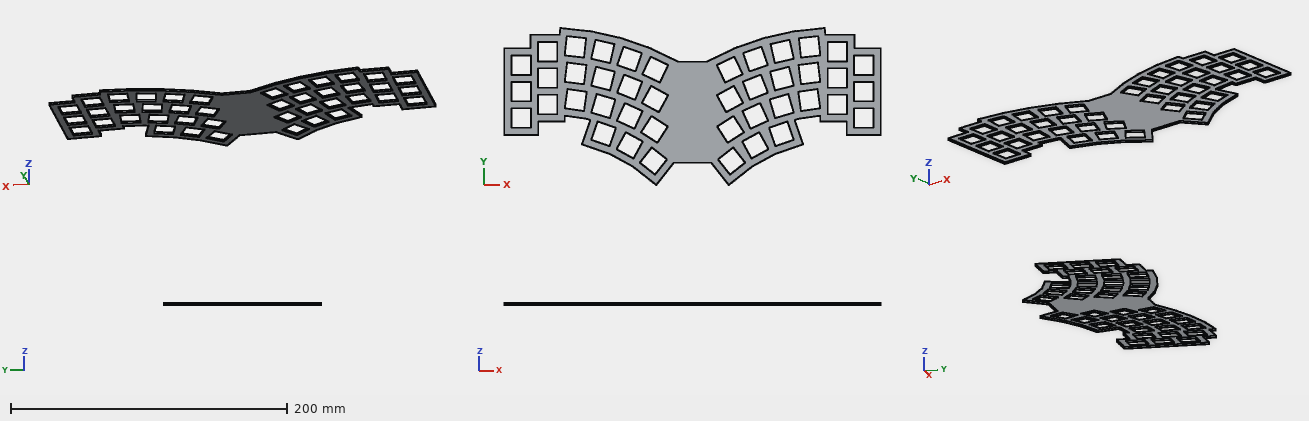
import cadquery as cq
import math

plate_length = 272.7
plate_thickness = 1.5
key_pitch = 19.0
cell_size = 24.8
opening_size = 14.0

column_keys = 3
outer_column_x = -plate_length / 2 + cell_size / 2
inner_column_x = outer_column_x + key_pitch
outer_column_middle_y = 10.5
column_stagger = 9.8

fan_center_x = inner_column_x
fan_center_y = -137.0
top_row_radius = 181.0
row_key_numbers = [(1, 2, 3, 4), (1, 2, 3, 4), (1, 2, 3, 4), (2, 3, 4)]

web_bottom_y = -41.0


def row_radius(row):
    return top_row_radius - row * key_pitch


def key_angle(row, number):
    """Tilt from +Y in degrees; pitch-wide squares of one row touch at their inner corners."""
    half_pitch = key_pitch / 2
    step = 2 * math.atan(half_pitch / (row_radius(row) - half_pitch))
    return math.degrees(number * step)


def fan_point(row, number, across=0.0, outward=0.0):
    """Point offset from a fanned key's centre, along the key's own axes."""
    angle = math.radians(key_angle(row, number))
    radius = row_radius(row) + outward
    x = fan_center_x + radius * math.sin(angle) + across * math.cos(angle)
    y = fan_center_y + radius * math.cos(angle) - across * math.sin(angle)
    return x, y


def column_keys_at(x, middle_y):
    """Upright keys of one straight column, as (x, y, rotation)."""
    first_y = middle_y - key_pitch * (column_keys - 1) / 2
    return [(x, first_y + i * key_pitch, 0.0) for i in range(column_keys)]


def fan_keys():
    """Keys of all fanned rows, as (x, y, rotation)."""
    keys = []
    for row, numbers in enumerate(row_key_numbers):
        for number in numbers:
            x, y = fan_point(row, number)
            keys.append((x, y, -key_angle(row, number)))
    return keys


def key_block(key, size):
    x, y, rotation = key
    block = cq.Workplane("XY").rect(size, size).extrude(plate_thickness)
    return block.rotate((0, 0, 0), (0, 0, 1), rotation).translate((x, y, 0))


def left_web():
    """Left half of the web, reaching in to the last key of each row."""
    half_cell = cell_size / 2
    last_row = len(row_key_numbers) - 1
    top_corner = fan_point(0, row_key_numbers[0][-1], half_cell, half_cell)
    outline = [(0, top_corner[1]), top_corner]
    outline += [fan_point(row, numbers[-1]) for row, numbers in enumerate(row_key_numbers)]
    side_x, side_y = fan_point(last_row, row_key_numbers[-1][-1], half_cell)
    tilt = math.radians(key_angle(last_row, row_key_numbers[-1][-1]))
    corner_x = side_x + (web_bottom_y - side_y) * math.tan(tilt)
    outline += [(corner_x, web_bottom_y), (0, web_bottom_y)]
    return cq.Workplane("XY").polyline(outline).close().extrude(plate_thickness)


left_keys = column_keys_at(outer_column_x, outer_column_middle_y)
left_keys += column_keys_at(inner_column_x, outer_column_middle_y + column_stagger)
left_keys += fan_keys()

left_half = left_web()
for left_key in left_keys:
    left_half = left_half.union(key_block(left_key, cell_size))
for left_key in left_keys:
    left_half = left_half.cut(key_block(left_key, opening_size))

result = left_half.union(left_half.mirror("YZ")).clean()